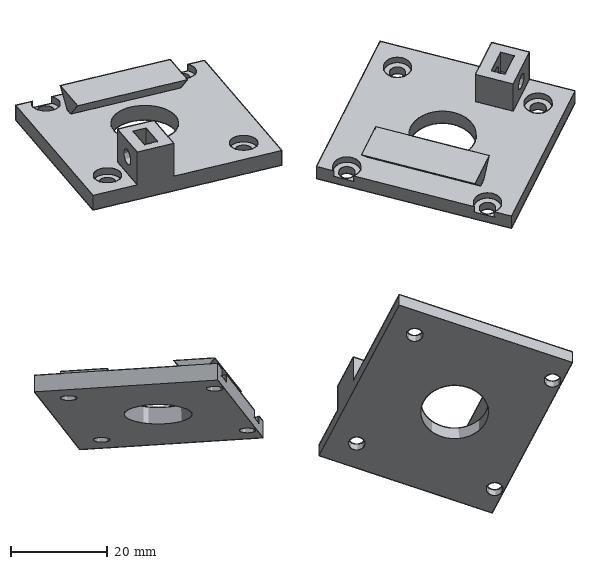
import cadquery as cq
import math

plate_x = 39.0
plate_y = 43.0
plate_z = 3.6

pattern_center = (17.5, plate_y / 2)
screw_spacing = 31.0
screw_diameter = 3.4
counterbore_diameter = 5.9
counterbore_depth = 1.6
center_hole_diameter = 14.0

rail_center_x = 7.0
rail_top_width = 8.77
rail_bottom_width = 1.8
rail_height = 4.0
rail_length = 25.03

block_x = 9.98
block_y = 8.35
block_top = 11.6
block_front_y = 10.05

nut_width = 5.75
nut_slot_thickness = 3.0
nut_slot_offset = 0.1

block_center_x = plate_x - block_x / 2
block_center_y = block_front_y + block_y / 2
clamp_axis_z = (plate_z + block_top) / 2


def make_plate():
    plate = cq.Workplane("XY").box(plate_x, plate_y, plate_z, centered=False)
    top = cq.Workplane("XY", origin=(*pattern_center, plate_z))
    center_hole = top.circle(center_hole_diameter / 2).extrude(-plate_z)
    corners = top.rect(screw_spacing, screw_spacing, forConstruction=True).vertices()
    screw_holes = corners.circle(screw_diameter / 2).extrude(-plate_z)
    counterbores = corners.circle(counterbore_diameter / 2).extrude(-counterbore_depth)
    return plate.cut(center_hole).cut(screw_holes).cut(counterbores)


def make_rail():
    rail_top = plate_z + rail_height
    profile = [
        (rail_center_x - rail_bottom_width / 2, plate_z),
        (rail_center_x + rail_bottom_width / 2, plate_z),
        (rail_center_x + rail_top_width / 2, rail_top),
        (rail_center_x - rail_top_width / 2, rail_top),
    ]
    middle = cq.Workplane("XZ", origin=(0, plate_y / 2, 0))
    return middle.polyline(profile).close().extrude(rail_length / 2, both=True)


def make_clamp_block():
    block_height = block_top - plate_z
    block = cq.Workplane("XY").box(block_x, block_y, block_height)
    block = block.translate((block_center_x, block_center_y, clamp_axis_z))

    middle = cq.Workplane("XZ", origin=(block_center_x, block_center_y, clamp_axis_z))
    screw_hole = middle.circle(screw_diameter / 2).extrude(block_y / 2, both=True)

    half_width = nut_width / 2
    corner_radius = nut_width / math.sqrt(3)
    slot_profile = [
        (0, -corner_radius),
        (half_width, -corner_radius / 2),
        (half_width, block_height / 2),
        (-half_width, block_height / 2),
        (-half_width, -corner_radius / 2),
    ]
    nut_slot = middle.polyline(slot_profile).close().extrude(nut_slot_thickness / 2, both=True)
    nut_slot = nut_slot.translate((0, -nut_slot_offset, 0))
    return block.cut(screw_hole).cut(nut_slot)


result = make_plate().union(make_rail()).union(make_clamp_block())